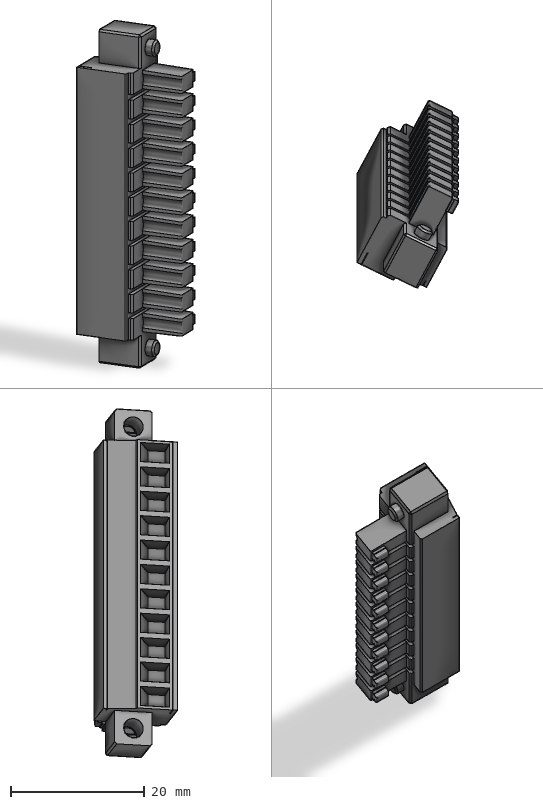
import cadquery as cq
import math


POLES = 11
BODY_LENGTH = 41.9
BODY_WIDTH = 11.1
BODY_DEPTH = 8.25
PITCH = BODY_LENGTH / POLES
UPPER_FACE_X = 1.25
SLOPE_TOP_Y = 10.45
SLOPE_BOTTOM = (0.45, 6.3)
LIP_TOP_Y = 6.1
BODY_CHAMFER = 0.25
INSERT_LOW_Y = 0.8
INSERT_GAP = 0.1

ENTRY_LOW_Y = 1.25
ENTRY_HIGH_Y = 5.65
ENTRY_HEIGHT = 3.0
FLOOR_LOW_Y = 1.45
FLOOR_HIGH_Y = 4.1
FLOOR_HEIGHT = 1.8
FUNNEL_DEPTH = 2.1

TOTAL_LENGTH = 52.3
FLANGE_X = 2.05
FLANGE_END_X = 8.95
FLANGE_LOW_Y = 3.45
FLANGE_HIGH_Y = 9.2
FLANGE_CHAMFER = 0.3
PLATE_LOW_Y = 0.75

AXIS_Y = (FLANGE_LOW_Y + FLANGE_HIGH_Y) / 2
SCREW_Z = (BODY_LENGTH + TOTAL_LENGTH) / 4
SCREW_HOLE_DIAMETER = 3.0
SCREW_HEAD_X = 6.3
HEAD_CHAMFER = 0.25
SLOT_WIDTH = 0.65
SLOT_DEPTH = 0.5
TIP_DIAMETER = 2.5
TIP_END_X = 10.35
TIP_CHAMFER = 0.3

PLUG_END_X = 15.5
PLUG_LOW_Y = 4.2
PLUG_HIGH_Y = 8.25
PLUG_ROOT_HEIGHT = 2.95
PLUG_TIP_HEIGHT = 2.65
PLUG_FILLET = 0.25
GROOVE_WIDTH = 1.75
GROOVE_DIAMETER = 2.8
GROOVE_DEPTH = GROOVE_DIAMETER / 2 - math.sqrt(GROOVE_DIAMETER**2 - GROOVE_WIDTH**2) / 2

NUB_X = 13.0
NUB_END_X = 15.2
NUB_TOP_Y = 9.45
NUB_STEP_Y = 8.7
NUB_HEIGHT = 1.45
NUB_BASE_HEIGHT = 1.8
NUB_FILLET = 0.3

OVERLAP = 0.25


def box(x0, x1, y0, y1, z0, z1):
    """Box between two opposite corners."""
    return cq.Workplane("XY").box(x1 - x0, y1 - y0, z1 - z0, centered=False).translate((x0, y0, z0))


def centred_box(x0, x1, y0, y1, height):
    """Box whose height is centred on Z = 0."""
    return box(x0, x1, y0, y1, -height / 2, height / 2)


def make_body():
    """Extruded housing with the parting grooves of its entry insert."""
    outline = [
        (0, 0),
        (BODY_DEPTH, 0),
        (BODY_DEPTH, BODY_WIDTH),
        (UPPER_FACE_X, BODY_WIDTH),
        (UPPER_FACE_X, SLOPE_TOP_Y),
        SLOPE_BOTTOM,
        (0, LIP_TOP_Y),
    ]
    body = cq.Workplane("XY").polyline(outline).close().extrude(BODY_LENGTH / 2, both=True)
    body = body.faces(">X").edges("|Z").chamfer(BODY_CHAMFER)
    for gap_y in (INSERT_LOW_Y - INSERT_GAP, SLOPE_TOP_Y):
        body = body.cut(centred_box(0, FLANGE_X, gap_y, gap_y + INSERT_GAP, BODY_LENGTH))
    return body


def make_entry():
    """Funnel narrowing to a flat floor, centred on Z = 0."""
    mouth_y = (ENTRY_LOW_Y + ENTRY_HIGH_Y) / 2
    floor_y = (FLOOR_LOW_Y + FLOOR_HIGH_Y) / 2
    return (
        cq.Workplane("YZ")
        .center(mouth_y, 0)
        .rect(ENTRY_HIGH_Y - ENTRY_LOW_Y, ENTRY_HEIGHT)
        .workplane(offset=FUNNEL_DEPTH)
        .center(floor_y - mouth_y, 0)
        .rect(FLOOR_HIGH_Y - FLOOR_LOW_Y, FLOOR_HEIGHT)
        .loft(ruled=True)
    )


def make_plate(z0, z1):
    """Raised plate on the +X face that carries a plug."""
    plate = box(BODY_DEPTH - OVERLAP, FLANGE_END_X, PLATE_LOW_Y, FLANGE_HIGH_Y, z0, z1)
    return plate.faces(">X").edges("|Z").chamfer(FLANGE_CHAMFER)


def make_plug():
    """Tapered contact plug with a round groove along -Y, centred on Z = 0."""
    start_x = FLANGE_END_X - OVERLAP
    outline = [
        (start_x, -PLUG_ROOT_HEIGHT / 2),
        (PLUG_END_X, -PLUG_TIP_HEIGHT / 2),
        (PLUG_END_X, PLUG_TIP_HEIGHT / 2),
        (start_x, PLUG_ROOT_HEIGHT / 2),
    ]
    plug = (
        cq.Workplane("XZ", origin=(0, PLUG_HIGH_Y, 0))
        .polyline(outline)
        .close()
        .extrude(PLUG_HIGH_Y - PLUG_LOW_Y)
    )
    groove = (
        cq.Workplane("YZ", origin=(FLANGE_END_X, 0, 0))
        .moveTo(PLUG_LOW_Y, -GROOVE_WIDTH / 2)
        .threePointArc((PLUG_LOW_Y + GROOVE_DEPTH, 0), (PLUG_LOW_Y, GROOVE_WIDTH / 2))
        .close()
        .extrude(PLUG_END_X - FLANGE_END_X)
    )
    plug = plug.cut(groove).faces(">X").edges("|Z or %CIRCLE").fillet(PLUG_FILLET)
    nub = centred_box(NUB_X, NUB_END_X, PLUG_HIGH_Y - OVERLAP, NUB_TOP_Y, NUB_HEIGHT)
    nub = nub.faces(">Y").edges("|X or >X").fillet(NUB_FILLET)
    nub_base = centred_box(NUB_X, NUB_END_X, PLUG_HIGH_Y - OVERLAP, NUB_STEP_Y, NUB_BASE_HEIGHT)
    return plug.union(nub_base).union(nub)


def make_flange():
    """Upper flange with its recessed slotted screw."""
    flange = box(
        FLANGE_X, FLANGE_END_X, FLANGE_LOW_Y, FLANGE_HIGH_Y,
        BODY_LENGTH / 2 - OVERLAP, TOTAL_LENGTH / 2,
    )
    flange = flange.edges("(>Z and |X) or (>X and (|Z or >Z))").chamfer(FLANGE_CHAMFER)

    screw_axis = cq.Workplane("YZ", origin=(0, AXIS_Y, SCREW_Z))
    hole = (
        screw_axis.workplane(offset=FLANGE_X)
        .circle(SCREW_HOLE_DIAMETER / 2)
        .extrude(SCREW_HEAD_X + HEAD_CHAMFER - FLANGE_X)
    )
    head = (
        screw_axis.workplane(offset=SCREW_HEAD_X)
        .circle(SCREW_HOLE_DIAMETER / 2)
        .extrude(HEAD_CHAMFER + OVERLAP)
        .faces("<X").chamfer(HEAD_CHAMFER)
    )
    slot = (
        screw_axis.workplane(offset=SCREW_HEAD_X)
        .circle(SCREW_HOLE_DIAMETER / 2)
        .extrude(SLOT_DEPTH)
        .intersect(
            cq.Workplane("XY")
            .box(2 * SLOT_DEPTH, SCREW_HOLE_DIAMETER, SLOT_WIDTH)
            .translate((SCREW_HEAD_X, AXIS_Y, SCREW_Z))
        )
    )
    tip = (
        screw_axis.workplane(offset=FLANGE_END_X - OVERLAP)
        .circle(TIP_DIAMETER / 2)
        .extrude(TIP_END_X - FLANGE_END_X + OVERLAP)
        .faces(">X").chamfer(TIP_CHAMFER)
    )
    return flange.cut(hole).union(head).cut(slot).union(tip)


result = make_body()
upper_flange = make_flange()
result = result.union(upper_flange).union(upper_flange.mirror("XY"))

entry = make_entry()
plug = make_plug()
for pole in range(POLES):
    pole_z = (pole - (POLES - 1) / 2) * PITCH
    plate_z0 = pole_z - PLUG_ROOT_HEIGHT / 2
    plate_z1 = pole_z + PLUG_ROOT_HEIGHT / 2
    if pole == 0:
        plate_z0 = -BODY_LENGTH / 2
    if pole == POLES - 1:
        plate_z1 = BODY_LENGTH / 2
    result = result.union(make_plate(plate_z0, plate_z1))
    result = result.union(plug.translate((0, 0, pole_z)))
    result = result.cut(entry.translate((0, 0, pole_z)))